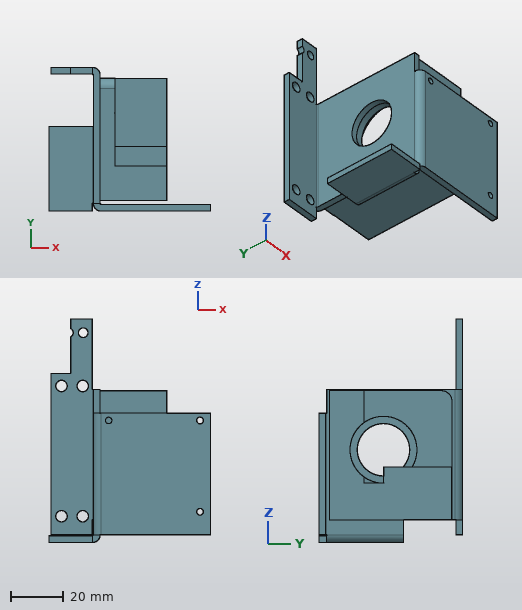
import cadquery as cq

thickness = 2.65
inner_bend_radius = 0.3
bend_radius = thickness + inner_bend_radius
total_length = 61.9
total_depth = 55.1
total_height = 85.7

flange_end_x = 16.6
web_back_x = flange_end_x + bend_radius
web_front_x = web_back_x - thickness
web_start_y = bend_radius
web_end_y = total_depth - bend_radius
web_top_z = 58.7
web_notch_y = 32.5
web_notch_z = 8.7

side_plate_top_z = 49.6
side_hole_diameter = 2.5
side_hole_pitch = 35.0
side_hole_edge = 4.0
side_hole_top = 2.8

strip_start_x = 0.7
strip_shoulder_x = 8.3
strip_shoulder_z = 64.8
strip_hole_diameter = 4.3
strip_hole_xs = (4.8, 12.9)
strip_hole_zs = (10.1, 60.0)
tip_hole_diameter = 3.6
tip_hole_xs = (7.45, 13.1)
tip_hole_z = 80.4

bore_diameter = 20.0
bore_y = 24.8
bore_z = 35.6

block_start_y = 4.0
block_base_end_y = 51.0
block_base_thickness = 5.65
block_corner_radius = 4.0
block_top_z = 58.2
block_bottom_z = web_notch_z
block_end_x = 45.2
block_arm_end_y = 17.4
block_step_start_y = 24.85
block_step_end_y = 50.8
block_step_top_z = 29.05
block_bore_depth = 3.0
block_relief_diameter = 25.6
block_base_end_x = web_back_x + block_base_thickness
block_floor_top_z = bore_z - block_relief_diameter / 2


def box_between(low, high):
    """Axis-aligned box between two opposite corners."""
    size = [b - a for a, b in zip(low, high)]
    return cq.Workplane("XY").box(*size, centered=False).translate(low)


def x_cylinder(diameter, start_x, end_x):
    """Cylinder on the bore axis."""
    return (
        cq.Workplane("YZ", origin=(start_x, bore_y, bore_z))
        .circle(diameter / 2)
        .extrude(end_x - start_x)
    )


def y_holes(points, diameter):
    """Drills running along Y through the full depth at the given X, Z points."""
    return (
        cq.Workplane("XZ")
        .pushPoints(points)
        .circle(diameter / 2)
        .extrude(-total_depth)
    )


def bend(plane, center, direction, length):
    """Quarter-round bend whose outer side faces +X and the given side of the plane's second axis."""
    ring = (
        cq.Workplane(plane, origin=center)
        .circle(bend_radius)
        .circle(inner_bend_radius)
        .extrude(length)
    )
    quadrant = (
        cq.Workplane(plane, origin=center)
        .center(bend_radius / 2, direction * bend_radius / 2)
        .rect(bend_radius, bend_radius)
        .extrude(length)
    )
    return ring.intersect(quadrant)


def make_web():
    web = box_between(
        (web_front_x, web_start_y, bend_radius), (web_back_x, web_end_y, web_top_z)
    )
    notch = box_between((web_front_x, web_notch_y, 0), (web_back_x, total_depth, web_notch_z))
    bore = x_cylinder(bore_diameter, web_front_x, web_back_x)
    return web.cut(notch).cut(bore)


def make_side_plate():
    """Front plate pointing to +X, with its bend and three small holes."""
    plate = box_between(
        (web_front_x + bend_radius, 0, bend_radius), (total_length, thickness, side_plate_top_z)
    )
    height = side_plate_top_z - bend_radius
    corner = (
        bend("XY", (0, 0, 0), -1, height)
        .mirror("YZ")
        .translate((web_front_x + bend_radius, bend_radius, bend_radius))
    )
    right_x = total_length - side_hole_edge
    left_x = right_x - side_hole_pitch
    top_z = side_plate_top_z - side_hole_top
    bottom_z = top_z - side_hole_pitch
    holes = y_holes([(left_x, top_z), (right_x, top_z), (right_x, bottom_z)], side_hole_diameter)
    return plate.union(corner).cut(holes)


def make_strip():
    """Tall rear strip pointing to -X, with its bend, shoulder and holes."""
    start_y = total_depth - thickness
    strip = (
        cq.Workplane("XZ", origin=(0, start_y, 0))
        .moveTo(strip_start_x, bend_radius)
        .lineTo(flange_end_x, bend_radius)
        .lineTo(flange_end_x, total_height)
        .lineTo(strip_shoulder_x, total_height)
        .lineTo(strip_shoulder_x, strip_shoulder_z)
        .lineTo(strip_start_x, strip_shoulder_z)
        .close()
        .extrude(-thickness)
    )
    large_holes = y_holes([(x, z) for x in strip_hole_xs for z in strip_hole_zs], strip_hole_diameter)
    tip_holes = y_holes([(x, tip_hole_z) for x in tip_hole_xs], tip_hole_diameter)
    corner = bend("XY", (flange_end_x, web_end_y, web_notch_z), 1, web_top_z - web_notch_z)
    return strip.cut(large_holes).cut(tip_holes).union(corner)


def make_foot():
    """Horizontal foot pointing to -X at the bottom, with its bend."""
    foot = box_between((0, 0, 0), (flange_end_x, web_notch_y, thickness))
    corner = bend("XZ", (flange_end_x, web_notch_y, bend_radius), -1, web_notch_y - web_start_y)
    return foot.union(corner)


def make_bracket():
    return make_web().union(make_side_plate()).union(make_strip()).union(make_foot())


def make_block():
    base = box_between(
        (web_back_x, block_start_y, block_bottom_z),
        (block_base_end_x, block_base_end_y, block_top_z),
    ).edges("|X and >Y and >Z").fillet(block_corner_radius)
    arm = box_between(
        (block_base_end_x, block_start_y, block_bottom_z),
        (block_end_x, block_arm_end_y, block_top_z),
    )
    floor = box_between(
        (block_base_end_x, block_arm_end_y, block_bottom_z),
        (block_end_x, block_step_start_y, block_floor_top_z),
    )
    step = box_between(
        (block_base_end_x, block_step_start_y, block_bottom_z),
        (block_end_x, block_step_end_y, block_step_top_z),
    )
    relief_start_x = web_back_x + block_bore_depth
    bore = x_cylinder(bore_diameter, web_back_x, relief_start_x)
    relief = x_cylinder(block_relief_diameter, relief_start_x, block_end_x)
    return base.union(arm).union(floor).cut(bore).cut(relief).union(step)


bracket = make_bracket()
block = make_block()
result = cq.Compound.makeCompound([bracket.val(), block.val()])